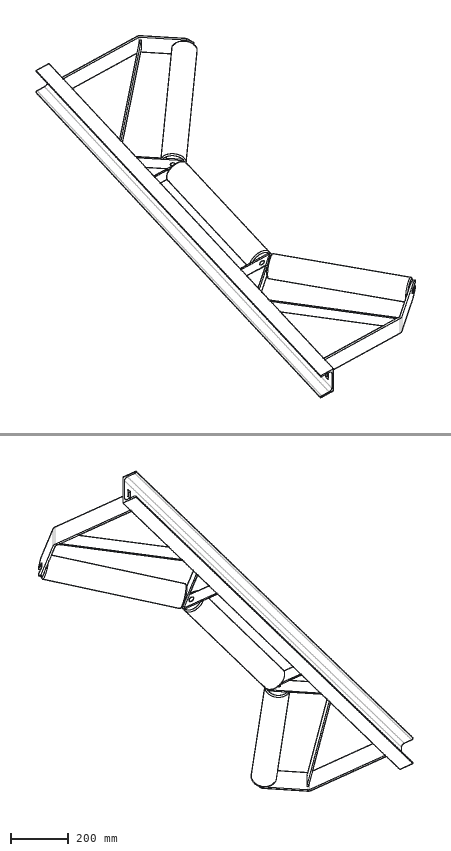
import cadquery as cq
import math


CHANNEL_LENGTH = 1700
CHANNEL_HEIGHT = 120
FLANGE_WIDTH = 55
WEB_THICKNESS = 7
FLANGE_THICKNESS = 8
ROOT_RADIUS = 12
TOE_RADIUS = 4.5
MOUNT_SLOT_WIDTH = 15
MOUNT_SLOT_HEIGHT = 30
MOUNT_SLOT_INSET = 30

ROLLER_DIAMETER = 89
ROLLER_LENGTH = 505
ROLLER_CHAMFER = 5
SHAFT_DIAMETER = 18
SHAFT_HOLE_DIAMETER = 20
BRACKET_SPAN = 510
CENTRE_AXIS_Y = 116
INNER_AXIS_Z = -20
OUTER_AXIS_Z = 0

TROUGH_ANGLE = math.radians(40)
WING_START = 300.5
WING_END = WING_START + BRACKET_SPAN
WING_OFFSET = -86

INNER_THICKNESS = 6
INNER_HEIGHT = 50
SHAFT_LENGTH = BRACKET_SPAN + 2 * INNER_THICKNESS

OUTER_THICKNESS = 8
OUTER_HEIGHT = 80
OUTER_POST_X = -786
OUTER_BEND_RADIUS = 8
OUTER_TIP_REACH = 31.52
TIP_CHAMFER_ALONG = 26
TIP_CHAMFER_HEIGHT = 20

BRACE_THICKNESS = 6
BRACE_HEIGHT = 50
BRACE_FOOT_X = -430
BRACE_TOP_Y = 340


def wing_point(along, across):
    """XY position from distances along and across the left wing direction."""
    return (
        -along * math.cos(TROUGH_ANGLE) + across * math.sin(TROUGH_ANGLE),
        along * math.sin(TROUGH_ANGLE) + across * math.cos(TROUGH_ANGLE),
    )


def across_at_x(along, x):
    """Across distance at which the line of constant `along` reaches x."""
    return (x + along * math.cos(TROUGH_ANGLE)) / math.sin(TROUGH_ANGLE)


def across_at_y(along, y):
    """Across distance at which the line of constant `along` reaches y."""
    return (y - along * math.sin(TROUGH_ANGLE)) / math.cos(TROUGH_ANGLE)


def wing_axis_plane(along, height):
    """Plane square to the wing line, facing outward, with local X level and pointing at the leg tip."""
    x, y = wing_point(along, WING_OFFSET)
    return cq.Plane(
        origin=(x, y, height),
        xDir=(math.sin(TROUGH_ANGLE), math.cos(TROUGH_ANGLE), 0),
        normal=(-math.cos(TROUGH_ANGLE), math.sin(TROUGH_ANGLE), 0),
    )


def make_channel():
    """Channel with rounded flange roots and toes, open toward -Y, and a mounting slot near each end."""
    half_height = CHANNEL_HEIGHT / 2
    inside_z = half_height - FLANGE_THICKNESS
    channel = (
        cq.Workplane("YZ", origin=(-CHANNEL_LENGTH / 2, 0, 0))
        .moveTo(0, -half_height)
        .lineTo(-FLANGE_WIDTH, -half_height)
        .lineTo(-FLANGE_WIDTH, -inside_z)
        .lineTo(-WEB_THICKNESS, -inside_z)
        .lineTo(-WEB_THICKNESS, inside_z)
        .lineTo(-FLANGE_WIDTH, inside_z)
        .lineTo(-FLANGE_WIDTH, half_height)
        .lineTo(0, half_height)
        .close()
        .extrude(CHANNEL_LENGTH)
    )
    for side in (-1, 1):
        root = cq.selectors.NearestToPointSelector((0, -WEB_THICKNESS, side * inside_z))
        toe = cq.selectors.NearestToPointSelector((0, -FLANGE_WIDTH, side * inside_z))
        channel = channel.edges("|X").edges(root).fillet(ROOT_RADIUS)
        channel = channel.edges("|X").edges(toe).fillet(TOE_RADIUS)
    slot_x = CHANNEL_LENGTH / 2 - MOUNT_SLOT_INSET
    slots = (
        cq.Workplane("XZ")
        .pushPoints([(-slot_x, 0), (slot_x, 0)])
        .rect(MOUNT_SLOT_WIDTH, MOUNT_SLOT_HEIGHT)
        .extrude(WEB_THICKNESS)
    )
    return channel.cut(slots)


def make_roller(plane):
    """Roller centred on the plane's origin, with its axis along the plane's normal."""
    shell = (
        cq.Workplane(plane)
        .workplane(offset=-ROLLER_LENGTH / 2)
        .circle(ROLLER_DIAMETER / 2)
        .extrude(ROLLER_LENGTH)
        .edges()
        .chamfer(ROLLER_CHAMFER)
    )
    shaft = (
        cq.Workplane(plane)
        .workplane(offset=-SHAFT_LENGTH / 2)
        .circle(SHAFT_DIAMETER / 2)
        .extrude(SHAFT_LENGTH)
    )
    return shell.union(shaft)


def make_centre_roller():
    """Level roller between the two inner brackets."""
    plane = cq.Plane(origin=(0, CENTRE_AXIS_Y, INNER_AXIS_Z), xDir=(0, 0, 1), normal=(1, 0, 0))
    return make_roller(plane)


def make_wing_roller():
    """Left wing roller, sloping down from the outer bracket to the inner one."""
    inner_x, inner_y = wing_point(WING_START, WING_OFFSET)
    outer_x, outer_y = wing_point(WING_END, WING_OFFSET)
    inner = cq.Vector(inner_x, inner_y, INNER_AXIS_Z)
    outer = cq.Vector(outer_x, outer_y, OUTER_AXIS_Z)
    plane = cq.Plane(origin=(inner + outer) * 0.5, normal=outer - inner)
    return make_roller(plane)


def make_inner_bracket():
    """Strip folded back on itself: an upright for the centre roller and a leg for the wing roller."""
    near_x = -BRACKET_SPAN / 2
    far_x = near_x - INNER_THICKNESS
    leg_back = WING_START - INNER_THICKNESS
    fold_across = across_at_x(leg_back, far_x)
    fold = wing_point(leg_back, fold_across)
    bracket = (
        cq.Workplane("XY", origin=(0, 0, INNER_AXIS_Z - INNER_HEIGHT / 2))
        .moveTo(near_x, 0)
        .lineTo(near_x, fold[1])
        .threePointArc((fold[0], fold[1] + INNER_THICKNESS), wing_point(WING_START, fold_across))
        .lineTo(*wing_point(WING_START, across_at_y(WING_START, 0)))
        .lineTo(*wing_point(leg_back, across_at_y(leg_back, 0)))
        .lineTo(*fold)
        .lineTo(far_x, 0)
        .close()
        .extrude(INNER_HEIGHT)
    )
    centre_hole = (
        cq.Workplane("YZ", origin=(far_x, CENTRE_AXIS_Y, INNER_AXIS_Z))
        .circle(SHAFT_HOLE_DIAMETER / 2)
        .extrude(INNER_THICKNESS)
    )
    wing_hole = (
        cq.Workplane(wing_axis_plane(leg_back, INNER_AXIS_Z))
        .circle(SHAFT_HOLE_DIAMETER / 2)
        .extrude(INNER_THICKNESS)
    )
    return bracket.cut(centre_hole).cut(wing_hole)


def make_outer_bracket():
    """Post that bends into a leg square to the wing roller, with an open shaft slot at the tip."""
    post_inside_x = OUTER_POST_X + OUTER_THICKNESS
    leg_outside = WING_END + OUTER_THICKNESS
    tip_across = WING_OFFSET + OUTER_TIP_REACH
    outside_corner = wing_point(leg_outside, across_at_x(leg_outside, OUTER_POST_X))
    inside_corner = wing_point(WING_END, across_at_x(WING_END, post_inside_x))
    bracket = (
        cq.Workplane("XY", origin=(0, 0, -OUTER_HEIGHT / 2))
        .moveTo(OUTER_POST_X, 0)
        .lineTo(*outside_corner)
        .lineTo(*wing_point(leg_outside, tip_across))
        .lineTo(*wing_point(WING_END, tip_across))
        .lineTo(*inside_corner)
        .lineTo(post_inside_x, 0)
        .close()
        .extrude(OUTER_HEIGHT)
    )
    inside_bend = cq.selectors.NearestToPointSelector((*inside_corner, 0))
    outside_bend = cq.selectors.NearestToPointSelector((*outside_corner, 0))
    bracket = bracket.edges(inside_bend).fillet(OUTER_BEND_RADIUS)
    bracket = bracket.edges(outside_bend).fillet(OUTER_BEND_RADIUS + OUTER_THICKNESS)
    leg_plane = wing_axis_plane(WING_END, 0)
    slot = (
        cq.Workplane(leg_plane)
        .circle(SHAFT_HOLE_DIAMETER / 2)
        .extrude(OUTER_THICKNESS)
        .union(
            cq.Workplane(leg_plane)
            .center(OUTER_TIP_REACH / 2, 0)
            .rect(OUTER_TIP_REACH, SHAFT_HOLE_DIAMETER)
            .extrude(OUTER_THICKNESS)
        )
    )
    bracket = bracket.cut(slot)
    for side in (-1, 1):
        corner = (
            cq.Workplane(leg_plane)
            .moveTo(OUTER_TIP_REACH, side * OUTER_HEIGHT / 2)
            .lineTo(OUTER_TIP_REACH - TIP_CHAMFER_ALONG, side * OUTER_HEIGHT / 2)
            .lineTo(OUTER_TIP_REACH, side * (OUTER_HEIGHT / 2 - TIP_CHAMFER_HEIGHT))
            .close()
            .extrude(OUTER_THICKNESS)
        )
        bracket = bracket.cut(corner)
    return bracket


def make_brace(outer_bracket):
    """Sloping strip from the channel to the bend of the outer bracket, trimmed where it meets the bend."""
    top_x = OUTER_POST_X + OUTER_THICKNESS
    slope = math.atan2(BRACE_TOP_Y, BRACE_FOOT_X - top_x)
    half_run = BRACE_THICKNESS / 2 / math.sin(slope)
    half_rise = BRACE_THICKNESS / 2 / math.cos(slope)
    brace = (
        cq.Workplane("XY", origin=(0, 0, -BRACE_HEIGHT / 2))
        .moveTo(BRACE_FOOT_X - half_run, 0)
        .lineTo(BRACE_FOOT_X + half_run, 0)
        .lineTo(top_x, BRACE_TOP_Y + half_rise)
        .lineTo(top_x, BRACE_TOP_Y - half_rise)
        .close()
        .extrude(BRACE_HEIGHT)
    )
    return brace.cut(outer_bracket)


channel = make_channel()
centre_roller = make_centre_roller()
wing_roller = make_wing_roller()
inner_bracket = make_inner_bracket()
outer_bracket = make_outer_bracket()
brace = make_brace(outer_bracket)

bodies = [channel.solids().val(), centre_roller.solids().val()]
for left_body in (wing_roller, inner_bracket, outer_bracket, brace):
    bodies.append(left_body.solids().val())
    bodies.append(left_body.mirror("YZ").solids().val())

result = cq.Compound.makeCompound(bodies)